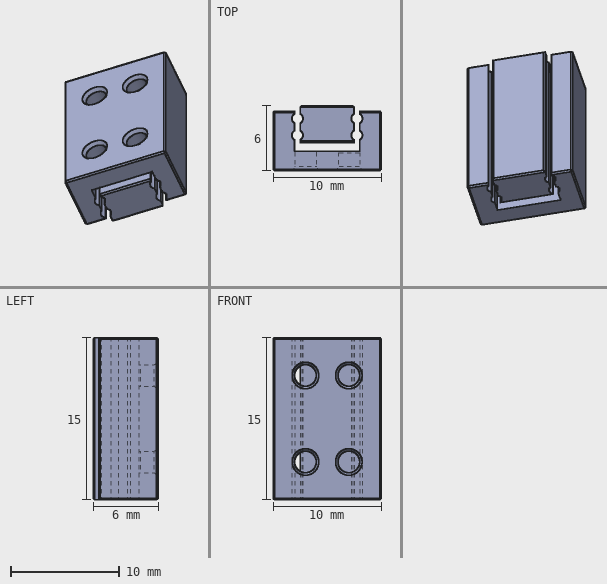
import cadquery as cq

LENGTH = 15.0
TOTAL_DEPTH = 6.0
EDGE_CHAMFER = 0.15

HOUSING_WIDTH = 10.0
HOUSING_DEPTH = 5.5
CHANNEL_WIDTH = 6.0
CHANNEL_FLOOR = 1.8

RAIL_WIDTH = 5.0
RAIL_DEPTH = 3.4

TRACK_DIAMETER = 1.0
TRACK_HEIGHTS = (3.27, 4.82)
TRACK_OFFSET = (CHANNEL_WIDTH + RAIL_WIDTH) / 4

HOLE_DIAMETER = 2.0
COUNTERSINK_DIAMETER = 2.46
COUNTERSINK_DEPTH = 0.39
HOLE_SPACING_X = 4.0
HOLE_SPACING_Z = 8.0
BLIND_HOLE_DEPTH = 1.65

INTO_BODY = cq.Vector(0, 1, 0)


def block(width, depth, y_start):
    """Full-length block centred on X and Z, with its -Y face at y_start."""
    return (
        cq.Workplane("XY")
        .box(width, depth, LENGTH, centered=(True, False, True))
        .translate((0, y_start, 0))
    )


def ball_tracks():
    """Full-length cylinders that cut the facing grooves of rail and housing."""
    centres = [(side * TRACK_OFFSET, y) for side in (-1, 1) for y in TRACK_HEIGHTS]
    return (
        cq.Workplane("XY", origin=(0, 0, -LENGTH / 2))
        .pushPoints(centres)
        .circle(TRACK_DIAMETER / 2)
        .extrude(LENGTH)
    )


def mounting_hole(x, z, depth):
    """Countersunk cylinder entering the housing back at (x, z)."""
    mouth = cq.Vector(x, 0, z)
    bore = cq.Solid.makeCylinder(HOLE_DIAMETER / 2, depth, mouth, INTO_BODY)
    countersink = cq.Solid.makeCone(
        COUNTERSINK_DIAMETER / 2, HOLE_DIAMETER / 2, COUNTERSINK_DEPTH, mouth, INTO_BODY
    )
    return bore.fuse(countersink)


def make_housing():
    body = block(HOUSING_WIDTH, HOUSING_DEPTH, 0).edges().chamfer(EDGE_CHAMFER)
    channel = block(CHANNEL_WIDTH, HOUSING_DEPTH - CHANNEL_FLOOR, CHANNEL_FLOOR)
    body = body.cut(channel).cut(ball_tracks())

    for side, depth in ((-1, CHANNEL_FLOOR), (1, BLIND_HOLE_DEPTH)):
        for end in (-1, 1):
            body = body.cut(mounting_hole(side * HOLE_SPACING_X / 2, end * HOLE_SPACING_Z / 2, depth))
    return body


def make_rail():
    body = block(RAIL_WIDTH, RAIL_DEPTH, TOTAL_DEPTH - RAIL_DEPTH)
    body = body.faces(">Y").edges().chamfer(EDGE_CHAMFER)
    body = body.faces("<Y").edges("|X").chamfer(EDGE_CHAMFER)
    return body.cut(ball_tracks())


housing = make_housing()
rail = make_rail()

result = cq.Compound.makeCompound([housing.val(), rail.val()])